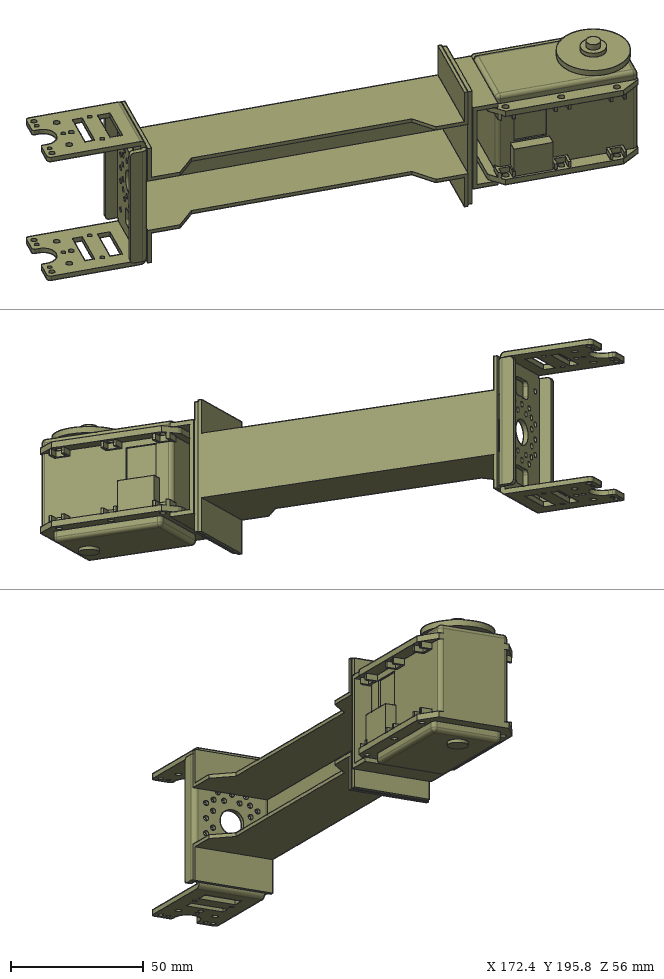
import cadquery as cq
import math

ARM_ANGLE = 49.65

ARM_LENGTH = 126.75
ARM_SHEET = 1.5
ARM_HALF_WIDTH = 16.6
ARM_CHANNEL_HEIGHT = 25.4
ARM_TABS_HEIGHT = 52.0
ARM_WIDE_LENGTH = 12.8
ARM_TAPER_LENGTH = 7.0
ARM_NARROW_EDGE = -8.8

BRACKET_SHEET = 2.0
BRACKET_BEND = 2.0
BRACKET_HEIGHT = ARM_TABS_HEIGHT + 2 * BRACKET_SHEET
BRACKET_LENGTH = 38.7
FLANGE_WIDTH = 28.0
FLANGE_TIP_FILLET = 1.5
LIP_SPAN = 33.0
LIP_HEIGHT = 50.0
LIP_LENGTH = 6.8
LIP_FILLET = 1.5
NOTCH_DIAMETER = 10.3
NOTCH_CENTRE = -36.1
NOTCH_LIP_FILLET = 1.0
FLANGE_SLOT_WIDTH = 15.6
FLANGE_SLOTS = [(-22.0, -18.2), (-12.1, -7.2)]
FLANGE_HOLES = [
    (2.2, [(-36.2, 11.2), (-36.2, -11.2), (-25.0, 0.0)]),
    (1.7, [(-36.1, 8.0), (-36.1, -8.0), (-28.1, 0.0)]),
    (2.5, [(-28.3, 7.8), (-28.3, -7.8)]),
    (1.8, [(-15.2, 7.8), (-15.2, -7.8)]),
]
CENTRE_HOLE_DIAMETER = 10.0
WINDOW_WIDTH = 9.8
WINDOW_HEIGHT = 7.2
WINDOW_OFFSET = 17.4
WINDOW_FILLET = 1.5
PLATE_HOLE_DIAMETER = 2.0
OUTER_RING_RADIUS = 11.0
INNER_RING_RADIUS = 8.7
RING_HOLE_COUNT = 8
SIDE_HOLE_OFFSET = 6.0
CORNER_HOLE_OFFSET = 19.0

MOUNT_SHEET = 1.75
MOUNT_PLATE_WIDTH = 32.0
MOUNT_PLATE_HEIGHT = 51.2
HOLDER_WIDTH = 33.6
HOLDER_HEIGHT = 37.0
HOLDER_LENGTH = 10.0
HOLDER_START = ARM_LENGTH + MOUNT_SHEET

SERVO_START = HOLDER_START + HOLDER_LENGTH
SERVO_END = SERVO_START + 56.0
SERVO_WIDTH = 29.4
SERVO_TOP = 20.4
SERVO_BOTTOM = -20.8
SERVO_FILLET = 1.7
BASE_START = SERVO_START + 4.8
BASE_END = SERVO_END - 5.0
LUG_TOP = HOLDER_HEIGHT / 2 - MOUNT_SHEET
LUG_THICKNESS = 2.4
LUG_UNDERSIDE = LUG_TOP - LUG_THICKNESS
LUG_START = SERVO_START - 3.5
LUG_HALF_WIDTH = 20.25
LUG_WIDE_START = SERVO_START + 1.8
LUG_WIDE_END = SERVO_END - 7.5
LUG_END_HALF_WIDTH = 14.9
LUG_HOLE_DIAMETER = 2.6
LUG_HOLE_OFFSET = 17.3
LUG_HOLE_PITCH = 22.0
LUG_FIRST_HOLE = SERVO_START + 2.8
NUT_BLOCK_LENGTH = 6.5
NUT_BLOCK_HEIGHT = 2.4
NUT_BLOCK_UNDERSIDE = LUG_UNDERSIDE - NUT_BLOCK_HEIGHT
NUT_BLOCK_REACH = 19.4
NUT_SLOT_LENGTH = 4.3
NUT_SLOT_INNER_EDGE = 15.7
CONNECTOR_START = SERVO_START + 5.5
CONNECTOR_LENGTH = 15.5
CONNECTOR_TOP = -2.0
CONNECTOR_REACH = 19.2
RECESS_START = SERVO_START + 7.0
RECESS_LENGTH = 12.8
RECESS_DEPTH = 0.8
RECESS_BOTTOM = -1.3

OUTPUT_X = SERVO_START + 43.0
PIVOT_DIAMETER = 8.0
PIVOT_HEIGHT = 1.3
SHAFT_DIAMETER = 10.0
HORN_GAP = 0.5
HORN_BOTTOM = SERVO_TOP + HORN_GAP
HORN_STEPS = [(28.0, 2.4), (10.0, 1.75), (5.6, 2.4)]


def box(x_range, y_range, z_range):
    """A box between two limits on each axis."""
    sizes = [high - low for low, high in (x_range, y_range, z_range)]
    corner = (x_range[0], y_range[0], z_range[0])
    return cq.Workplane("XY").box(*sizes, centered=False).translate(corner)


def centred_box(start, end, width, height):
    """A box from start to end along X, centred on Y and Z."""
    half_width, half_height = width / 2, height / 2
    return box((start, end), (-half_width, half_width), (-half_height, half_height))


def arm_end_tabs(start):
    """Two tabs that stand up and down from the channel's flanges at one end."""
    tabs = centred_box(start, start + ARM_SHEET, 2 * ARM_HALF_WIDTH, ARM_TABS_HEIGHT)
    gap_height = ARM_CHANNEL_HEIGHT - 2 * ARM_SHEET
    return tabs.cut(centred_box(start, start + ARM_SHEET, 2 * ARM_HALF_WIDTH, gap_height))


def make_arm():
    near_taper = ARM_WIDE_LENGTH + ARM_TAPER_LENGTH
    outline = [
        (0, ARM_HALF_WIDTH),
        (0, -ARM_HALF_WIDTH),
        (ARM_WIDE_LENGTH, -ARM_HALF_WIDTH),
        (near_taper, ARM_NARROW_EDGE),
        (ARM_LENGTH - near_taper, ARM_NARROW_EDGE),
        (ARM_LENGTH - ARM_WIDE_LENGTH, -ARM_HALF_WIDTH),
        (ARM_LENGTH, -ARM_HALF_WIDTH),
        (ARM_LENGTH, ARM_HALF_WIDTH),
    ]
    half_height = ARM_CHANNEL_HEIGHT / 2
    inner_half_height = half_height - ARM_SHEET
    channel = cq.Workplane("XY").polyline(outline).close().extrude(half_height, both=True)
    hollow = box(
        (0, ARM_LENGTH),
        (-ARM_HALF_WIDTH, ARM_HALF_WIDTH - ARM_SHEET),
        (-inner_half_height, inner_half_height),
    )
    arm = channel.cut(hollow)
    for start in (0, ARM_LENGTH - ARM_SHEET):
        arm = arm.union(arm_end_tabs(start))
    return arm


def bracket_flanges():
    """Back plate and the long top and bottom flanges, before their openings are cut."""
    shape = centred_box(-BRACKET_LENGTH, 0, FLANGE_WIDTH, BRACKET_HEIGHT)
    shape = shape.edges(">X and |Y").fillet(BRACKET_BEND)
    shape = shape.edges("<X and |Z").fillet(FLANGE_TIP_FILLET)
    inside = centred_box(-BRACKET_LENGTH, -BRACKET_SHEET, FLANGE_WIDTH, ARM_TABS_HEIGHT)
    return shape.cut(inside)


def bracket_lips():
    """Back plate and the short side lips."""
    shape = centred_box(-LIP_LENGTH, 0, LIP_SPAN, LIP_HEIGHT)
    shape = shape.edges(">X and |Z").fillet(BRACKET_BEND)
    shape = shape.edges("<X and |Y").fillet(LIP_FILLET)
    inside = centred_box(-LIP_LENGTH, -BRACKET_SHEET, LIP_SPAN - 2 * BRACKET_SHEET, LIP_HEIGHT)
    return shape.cut(inside)


def flange_openings():
    """Cutters that pass through both flanges: the end notch, the slots and the holes."""
    def cutter(sketch):
        return sketch.extrude(BRACKET_HEIGHT / 2, both=True)

    plane = cq.Workplane("XY")
    cutters = cutter(plane.center(NOTCH_CENTRE, 0).circle(NOTCH_DIAMETER / 2))
    mouth_length = BRACKET_LENGTH + NOTCH_CENTRE
    mouth = plane.center(NOTCH_CENTRE - mouth_length / 2, 0).rect(mouth_length, NOTCH_DIAMETER)
    cutters = cutters.union(cutter(mouth))
    for start, end in FLANGE_SLOTS:
        slot = plane.center((start + end) / 2, 0).rect(end - start, FLANGE_SLOT_WIDTH)
        cutters = cutters.union(cutter(slot))
    for diameter, centres in FLANGE_HOLES:
        cutters = cutters.union(cutter(plane.pushPoints(centres).circle(diameter / 2)))
    return cutters


def plate_hole_centres():
    """Centres (y, z) of the small holes in the back plate."""
    centres = []
    step = 2 * math.pi / RING_HOLE_COUNT
    for index in range(RING_HOLE_COUNT):
        outer = index * step
        inner = outer + step / 2
        centres.append((OUTER_RING_RADIUS * math.cos(outer), OUTER_RING_RADIUS * math.sin(outer)))
        centres.append((INNER_RING_RADIUS * math.cos(inner), INNER_RING_RADIUS * math.sin(inner)))
    for y_side in (-1, 1):
        for z_side in (-1, 1):
            centres.append((y_side * SIDE_HOLE_OFFSET, z_side * OUTER_RING_RADIUS))
            centres.append((y_side * OUTER_RING_RADIUS, z_side * SIDE_HOLE_OFFSET))
            centres.append((y_side * OUTER_RING_RADIUS, z_side * CORNER_HOLE_OFFSET))
    return centres


def plate_openings():
    """Cutters through the back plate: centre hole, small holes and two rounded windows."""
    plane = cq.Workplane("YZ", origin=(-BRACKET_SHEET, 0, 0))
    centre_hole = plane.circle(CENTRE_HOLE_DIAMETER / 2).extrude(BRACKET_SHEET)
    small_holes = plane.pushPoints(plate_hole_centres()).circle(PLATE_HOLE_DIAMETER / 2)
    small_holes = small_holes.extrude(BRACKET_SHEET)
    window_centres = [(0, WINDOW_OFFSET), (0, -WINDOW_OFFSET)]
    windows = plane.pushPoints(window_centres).rect(WINDOW_WIDTH, WINDOW_HEIGHT).extrude(BRACKET_SHEET)
    windows = windows.edges("|X").fillet(WINDOW_FILLET)
    return centre_hole.union(small_holes).union(windows)


def make_bracket():
    flanges = bracket_flanges().cut(flange_openings())
    mouth_half_width = NOTCH_DIAMETER / 2
    mouth_corners = cq.selectors.BoxSelector(
        (-BRACKET_LENGTH - 1, -mouth_half_width - 1, -BRACKET_HEIGHT),
        (-BRACKET_LENGTH + 1, mouth_half_width + 1, BRACKET_HEIGHT),
    )
    flanges = flanges.edges("|Z").edges(mouth_corners).fillet(NOTCH_LIP_FILLET)
    return flanges.union(bracket_lips()).cut(plate_openings())


def make_servo_mount():
    plate = centred_box(ARM_LENGTH, HOLDER_START, MOUNT_PLATE_WIDTH, MOUNT_PLATE_HEIGHT)
    holder = centred_box(HOLDER_START, SERVO_START, HOLDER_WIDTH, HOLDER_HEIGHT)
    inside = centred_box(HOLDER_START + MOUNT_SHEET, SERVO_START, HOLDER_WIDTH, 2 * LUG_TOP)
    return plate.union(holder.cut(inside))


def servo_case():
    """Rounded main case, with a shorter base below the lower lug plate."""
    half_width = SERVO_WIDTH / 2
    width = (-half_width, half_width)
    case = box((SERVO_START, SERVO_END), width, (-LUG_TOP, SERVO_TOP))
    case = case.edges("|Z").fillet(SERVO_FILLET).faces(">Z").edges().fillet(SERVO_FILLET)
    base = box((BASE_START, BASE_END), width, (SERVO_BOTTOM, 0))
    base = base.edges("|Z").fillet(SERVO_FILLET).faces("<Z").edges().fillet(SERVO_FILLET)
    return case.union(base)


def lug_hole_centres():
    return [
        (LUG_FIRST_HOLE + index * LUG_HOLE_PITCH, side * LUG_HOLE_OFFSET)
        for index in range(3)
        for side in (-1, 1)
    ]


def lug_plate():
    """Upper lug plate, drilled, with six slotted nut blocks under it trimmed to its outline."""
    half_case = SERVO_WIDTH / 2
    outline = [
        (LUG_START, -half_case),
        (LUG_WIDE_START, -LUG_HALF_WIDTH),
        (LUG_WIDE_END, -LUG_HALF_WIDTH),
        (SERVO_END, -LUG_END_HALF_WIDTH),
        (SERVO_END, LUG_END_HALF_WIDTH),
        (LUG_WIDE_END, LUG_HALF_WIDTH),
        (LUG_WIDE_START, LUG_HALF_WIDTH),
        (LUG_START, half_case),
    ]
    block_height = (NUT_BLOCK_UNDERSIDE, LUG_UNDERSIDE)
    lug_prism = cq.Workplane("XY").polyline(outline).close().extrude(LUG_TOP)
    lug_prism = lug_prism.edges("<X and |Z").fillet(SERVO_FILLET)
    plate = lug_prism.cut(
        box((LUG_START, SERVO_END), (-LUG_HALF_WIDTH, LUG_HALF_WIDTH), (0, LUG_UNDERSIDE))
    )
    for x, y in lug_hole_centres():
        block_x = (x - NUT_BLOCK_LENGTH / 2, x + NUT_BLOCK_LENGTH / 2)
        slot_x = (x - NUT_SLOT_LENGTH / 2, x + NUT_SLOT_LENGTH / 2)
        block = box(block_x, (half_case - SERVO_FILLET, NUT_BLOCK_REACH), block_height)
        block = block.cut(box(slot_x, (NUT_SLOT_INNER_EDGE, NUT_BLOCK_REACH), block_height))
        if y < 0:
            block = block.mirror("XZ")
        plate = plate.union(block.intersect(lug_prism))
    holes = cq.Workplane("XY").pushPoints(lug_hole_centres()).circle(LUG_HOLE_DIAMETER / 2).extrude(LUG_TOP)
    return plate.cut(holes)


def make_servo():
    servo = servo_case()
    half_case = SERVO_WIDTH / 2
    recess = box(
        (RECESS_START, RECESS_START + RECESS_LENGTH),
        (half_case - RECESS_DEPTH, half_case),
        (RECESS_BOTTOM, NUT_BLOCK_UNDERSIDE),
    )
    connector = box(
        (CONNECTOR_START, CONNECTOR_START + CONNECTOR_LENGTH),
        (half_case - RECESS_DEPTH, CONNECTOR_REACH),
        (-LUG_UNDERSIDE, CONNECTOR_TOP),
    )
    servo = servo.cut(recess).cut(recess.mirror("XZ"))
    servo = servo.union(connector).union(connector.mirror("XZ"))
    lugs = lug_plate()
    servo = servo.union(lugs).union(lugs.mirror("XY"))
    output = cq.Workplane("XY").center(OUTPUT_X, 0)
    shaft = output.circle(SHAFT_DIAMETER / 2).extrude(HORN_BOTTOM)
    pivot = output.circle(PIVOT_DIAMETER / 2).extrude(SERVO_BOTTOM - PIVOT_HEIGHT)
    return servo.union(shaft).union(pivot)


def make_horn():
    """Output disc with a stepped hub on top."""
    disc_diameter, disc_height = HORN_STEPS[0]
    base = cq.Workplane("XY", origin=(OUTPUT_X, 0, HORN_BOTTOM))
    horn = base.circle(disc_diameter / 2).extrude(disc_height)
    for diameter, height in HORN_STEPS[1:]:
        horn = horn.faces(">Z").workplane().circle(diameter / 2).extrude(height)
    return horn


def placed(body):
    return body.rotate((0, 0, 0), (0, 0, 1), ARM_ANGLE)


bracket = placed(make_bracket())
arm = placed(make_arm())
servo_mount = placed(make_servo_mount())
servo = placed(make_servo())
horn = placed(make_horn())

result = cq.Compound.makeCompound(
    [bracket.val(), arm.val(), servo_mount.val(), servo.val(), horn.val()]
)